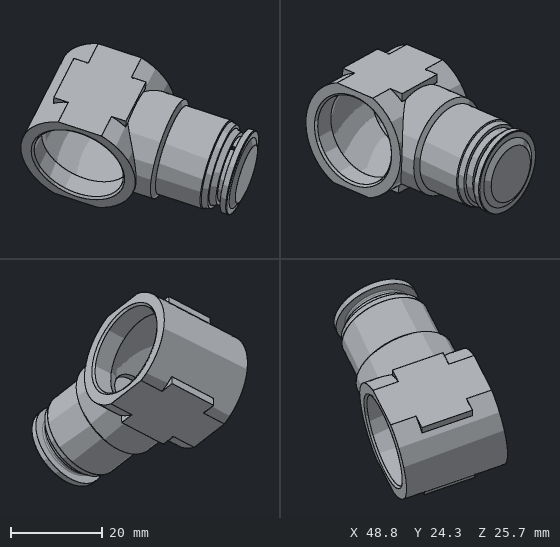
import cadquery as cq
import math

RING_RADIUS = 13.5
RING_LENGTH = 24.0
FLATS_DISTANCE = 25.0

LUG_WIDTH = 17.0
LUG_LENGTH = 12.0

CHAMBER_RADIUS = 12.0
LAND_RADIUS = 10.5
LAND_LENGTH = 5.0
MOUTH_RADIUS = 11.0

PORT_RADIUS = 5.3
PORT_END_X = 12.0

COLLAR_RADIUS = 11.5
COLLAR_END_X = 16.9
BODY_RADIUS = 10.25
BODY_START_X = 17.6
BODY_END_X = 28.1

CAP_START_RADIUS = 10.0
CAP_START_X = 28.3
CAP_END_RADIUS = 9.65
CAP_END_X = 29.7
SLEEVE_START_RADIUS = 8.9
SLEEVE_END_RADIUS = 8.4
SLEEVE_END_X = 31.15

NECK_RADIUS = 7.5
FLANGE_RADIUS = 9.75
FLANGE_START_X = 32.6
FLANGE_END_X = 33.95
NECK_FILLET = 0.3

NOSE_EDGE_RADIUS = 9.6
NOSE_SHOULDER_RADIUS = 8.2
NOSE_SHOULDER_X = 34.15
TIP_RADIUS = 6.7
TIP_X = 35.02

WINDOW_X = 31.5
WINDOW_LENGTH = 0.5
WINDOW_WIDTH = 0.9
WINDOW_DEPTH = 1.0

TILT_X = -0.6
TILT_Y = 1.9
TILT_Z = -0.35


def cylinder_along_y(radius, length, start_y):
    return cq.Workplane("XZ", origin=(0, start_y, 0)).circle(radius).extrude(-length)


def make_ring():
    ring = cylinder_along_y(RING_RADIUS, RING_LENGTH, -RING_LENGTH / 2)
    between_flats = cq.Workplane("XY").box(2 * RING_RADIUS, RING_LENGTH, FLATS_DISTANCE)
    lugs = cq.Workplane("XY").box(LUG_WIDTH, LUG_LENGTH, FLATS_DISTANCE)
    return ring.intersect(between_flats).union(lugs)


def make_stem():
    fillet_x = FLANGE_START_X - NECK_FILLET
    fillet_mid = NECK_FILLET * (1 - math.sqrt(0.5))
    profile = (
        cq.Workplane("XY")
        .lineTo(0, COLLAR_RADIUS)
        .lineTo(COLLAR_END_X, COLLAR_RADIUS)
        .lineTo(BODY_START_X, BODY_RADIUS)
        .lineTo(BODY_END_X, BODY_RADIUS)
        .lineTo(CAP_START_X, CAP_START_RADIUS)
        .lineTo(CAP_END_X, CAP_END_RADIUS)
        .lineTo(CAP_END_X, SLEEVE_START_RADIUS)
        .lineTo(SLEEVE_END_X, SLEEVE_END_RADIUS)
        .lineTo(SLEEVE_END_X, NECK_RADIUS)
        .lineTo(fillet_x, NECK_RADIUS)
        .threePointArc(
            (FLANGE_START_X - fillet_mid, NECK_RADIUS + fillet_mid),
            (FLANGE_START_X, NECK_RADIUS + NECK_FILLET),
        )
        .lineTo(FLANGE_START_X, FLANGE_RADIUS)
        .lineTo(FLANGE_END_X, FLANGE_RADIUS)
        .lineTo(NOSE_SHOULDER_X, NOSE_EDGE_RADIUS)
        .lineTo(NOSE_SHOULDER_X, NOSE_SHOULDER_RADIUS)
        .lineTo(TIP_X, TIP_RADIUS)
        .lineTo(TIP_X, 0)
        .close()
    )
    return profile.revolve(360, (0, 0, 0), (1, 0, 0))


def make_bore():
    end_y = RING_LENGTH / 2
    land_y = end_y - LAND_LENGTH
    mouth_y = end_y - (MOUTH_RADIUS - LAND_RADIUS)
    profile = (
        cq.Workplane("XY")
        .moveTo(0, -end_y)
        .lineTo(MOUTH_RADIUS, -end_y)
        .lineTo(LAND_RADIUS, -mouth_y)
        .lineTo(LAND_RADIUS, -land_y)
        .threePointArc((CHAMBER_RADIUS, 0), (LAND_RADIUS, land_y))
        .lineTo(LAND_RADIUS, mouth_y)
        .lineTo(MOUTH_RADIUS, end_y)
        .lineTo(0, end_y)
        .close()
    )
    return profile.revolve(360, (0, 0, 0), (0, 1, 0))


def make_port():
    return cq.Workplane("YZ").circle(PORT_RADIUS).extrude(PORT_END_X)


def make_window():
    window = cq.Workplane("XY").box(WINDOW_LENGTH, WINDOW_WIDTH, 2 * WINDOW_DEPTH)
    return window.translate((WINDOW_X, 0, NECK_RADIUS))


def tilt(part):
    part = part.rotate((0, 0, 0), (1, 0, 0), TILT_X)
    part = part.rotate((0, 0, 0), (0, 1, 0), TILT_Y)
    return part.rotate((0, 0, 0), (0, 0, 1), TILT_Z)


body = make_ring().union(make_stem())
body = body.cut(make_bore()).cut(make_port()).cut(make_window())
result = tilt(body)